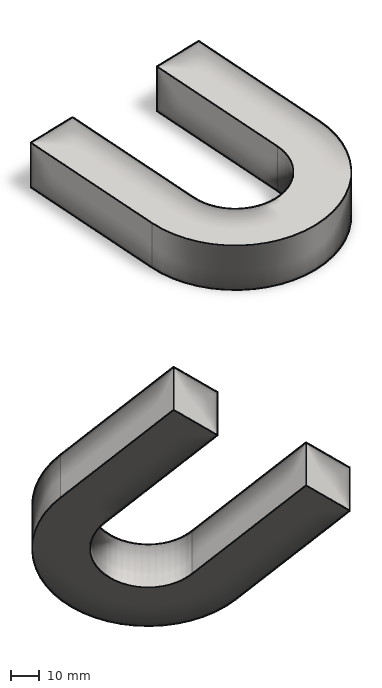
import cadquery as cq

length = 100.3
width = 80.0
thickness = 20.0
upper_leg_setback = 0.3

outer_radius = width / 2
inner_radius = outer_radius / 2
lower_leg_length = length - outer_radius
upper_leg_length = lower_leg_length - upper_leg_setback

outline = (
    cq.Workplane("XY")
    .moveTo(-lower_leg_length, -outer_radius)
    .lineTo(0, -outer_radius)
    .threePointArc((outer_radius, 0), (0, outer_radius))
    .lineTo(-upper_leg_length, outer_radius)
    .lineTo(-upper_leg_length, inner_radius)
    .lineTo(0, inner_radius)
    .threePointArc((inner_radius, 0), (0, -inner_radius))
    .lineTo(-lower_leg_length, -inner_radius)
    .close()
)

result = outline.extrude(thickness)